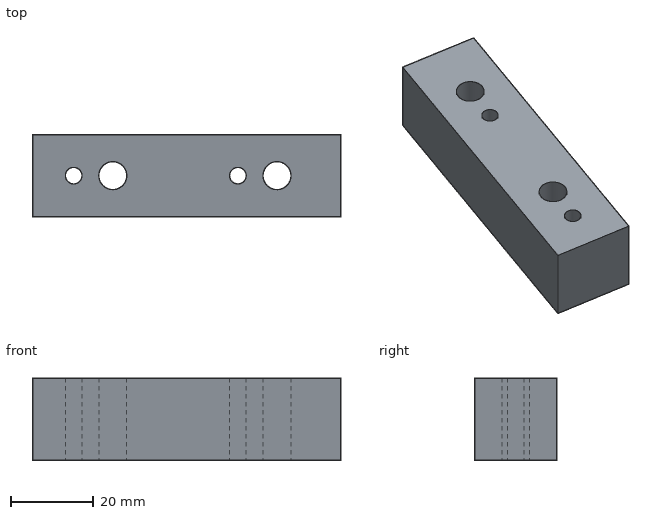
import cadquery as cq

length = 75.0
side = 20.0

small_diameter = 4.0
large_diameter = 6.75
first_small_x = 10.0
pair_pitch = 40.0
small_to_large = 9.5

small_x = [first_small_x + i * pair_pitch for i in range(2)]
large_x = [x + small_to_large for x in small_x]


def drill(body, x_places, diameter):
    """Drill vertical through holes at distances from the -X end."""
    centres = [(x - length / 2, 0) for x in x_places]
    return body.faces(">Z").workplane().pushPoints(centres).hole(diameter)


bar = cq.Workplane("XY").box(length, side, side)
bar = drill(bar, small_x, small_diameter)
result = drill(bar, large_x, large_diameter)